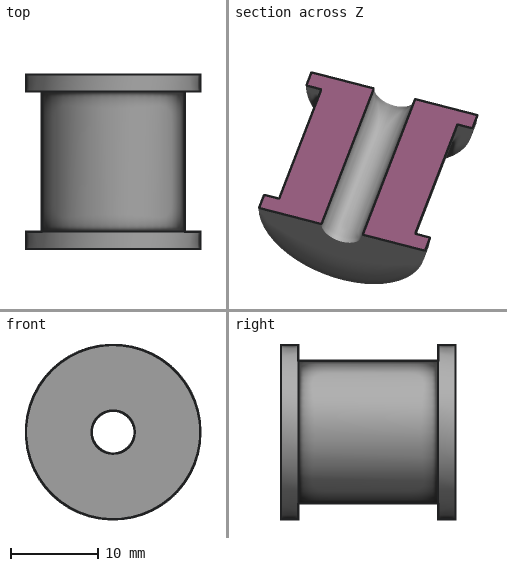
import cadquery as cq

flange_diameter = 20.0
flange_thickness = 2.0
hub_diameter = 16.4
bore_diameter = 4.9
overall_length = 20.0

hub_length = overall_length - 2 * flange_thickness


def cylinder_along_y(diameter, start_y, length):
    """Solid cylinder on the Y axis, running from start_y toward +Y."""
    base = cq.Workplane("XZ", origin=(0, start_y, 0))
    return base.circle(diameter / 2).extrude(-length)


front_face_y = -overall_length / 2
hub_start_y = front_face_y + flange_thickness
rear_flange_start_y = hub_start_y + hub_length

spool = cylinder_along_y(hub_diameter, hub_start_y, hub_length)
for flange_start_y in (front_face_y, rear_flange_start_y):
    spool = spool.union(cylinder_along_y(flange_diameter, flange_start_y, flange_thickness))

bore = cylinder_along_y(bore_diameter, front_face_y, overall_length)
result = spool.cut(bore)